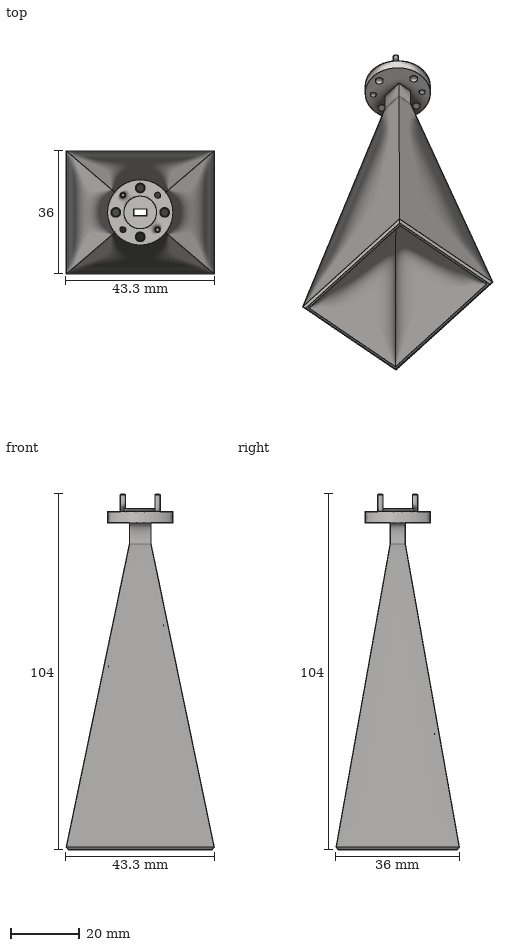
import cadquery as cq
import math

aperture_x = 43.28
aperture_y = 36.04
total_height = 103.96

bore_x = 3.76
bore_y = 1.88
wall = 1.3
neck_x = bore_x + 2 * wall
neck_y = bore_y + 2 * wall

flange_diameter = 19.05
flange_thickness = 3.35
boss_diameter = 9.525
boss_height = 0.95
pin_height = 5.1
bolt_circle_radius = 7.144
pin_diameter = 1.6
pin_chamfer = 0.3
dowel_hole_diameter = 1.7
bolt_hole_diameter = 2.3
bolt_hole_chamfer = 0.25
countersink_taper = 45

neck_length = 6.15
rim_height = 0.8
rim_inset = 0.65

flange_top = total_height - pin_height
boss_top = flange_top + boss_height
flange_bottom = flange_top - flange_thickness
horn_top = flange_bottom - neck_length


def frustum(bottom_x, bottom_y, bottom_z, top_x, top_y, top_z):
    """Rectangular frustum centred on the Z axis."""
    return (
        cq.Workplane("XY")
        .workplane(offset=bottom_z)
        .rect(bottom_x, bottom_y)
        .workplane(offset=top_z - bottom_z)
        .rect(top_x, top_y)
        .loft(ruled=True)
    )


def cylinder(diameter, bottom_z, top_z, points=((0, 0),)):
    """Vertical cylinders between two levels, one at each point."""
    return (
        cq.Workplane("XY")
        .workplane(offset=bottom_z)
        .pushPoints(points)
        .circle(diameter / 2)
        .extrude(top_z - bottom_z)
    )


def on_bolt_circle(angles):
    """Points on the bolt circle at the given angles in degrees."""
    return [
        (
            bolt_circle_radius * math.cos(math.radians(angle)),
            bolt_circle_radius * math.sin(math.radians(angle)),
        )
        for angle in angles
    ]


def make_horn():
    """Outer pyramid, its tapered rim and the straight neck above it."""
    rim_x = aperture_x - 2 * rim_inset
    rim_y = aperture_y - 2 * rim_inset
    rim = frustum(rim_x, rim_y, 0, aperture_x, aperture_y, rim_height)
    flare = frustum(aperture_x, aperture_y, rim_height, neck_x, neck_y, horn_top)
    neck = frustum(neck_x, neck_y, horn_top, neck_x, neck_y, flange_bottom)
    return rim.union(flare).union(neck)


def make_flange():
    """Round flange with its raised boss, bolt holes, dowel holes and pins."""
    flange = cylinder(flange_diameter, flange_bottom, flange_top)
    flange = flange.union(cylinder(boss_diameter, flange_top, boss_top))
    bolt_points = on_bolt_circle((0, 90, 180, 270))
    bolt_holes = cylinder(bolt_hole_diameter, flange_bottom, flange_top, bolt_points)
    countersinks = (
        cq.Workplane("XY")
        .workplane(offset=flange_top)
        .pushPoints(bolt_points)
        .circle(bolt_hole_diameter / 2 + bolt_hole_chamfer)
        .extrude(-bolt_hole_chamfer, taper=countersink_taper)
    )
    dowel_points = on_bolt_circle((45, 225))
    dowel_holes = cylinder(dowel_hole_diameter, flange_bottom, flange_top, dowel_points)
    pins = cylinder(pin_diameter, flange_bottom, total_height, on_bolt_circle((135, 315)))
    pins = pins.faces(">Z").edges().chamfer(pin_chamfer)
    return flange.cut(bolt_holes).cut(countersinks).cut(dowel_holes).union(pins)


def make_bore():
    """Rectangular guide through the neck, flaring to the open aperture."""
    inner_x = aperture_x - 2 * wall
    inner_y = aperture_y - 2 * wall
    flare = frustum(inner_x, inner_y, 0, bore_x, bore_y, horn_top)
    guide = frustum(bore_x, bore_y, horn_top, bore_x, bore_y, boss_top)
    return flare.union(guide)


result = make_horn().union(make_flange()).cut(make_bore())